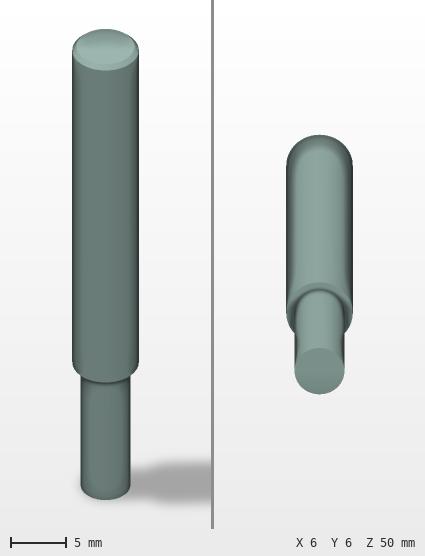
import cadquery as cq

total_length = 50.0
body_diameter = 6.0
body_length = 36.0
body_chamfer = 0.4
stem_diameter = 4.5
stem_length = total_length - body_length


def make_body():
    """Plain cylinder standing on the stem, chamfered around its top edge."""
    return (
        cq.Workplane("XY", origin=(0, 0, stem_length))
        .circle(body_diameter / 2)
        .extrude(body_length)
        .faces(">Z")
        .chamfer(body_chamfer)
    )


def make_stem():
    """Thinner cylinder that meets the underside of the body."""
    return cq.Workplane("XY").circle(stem_diameter / 2).extrude(stem_length)


body = make_body()
stem = make_stem()

result = cq.Compound.makeCompound([body.val(), stem.val()])